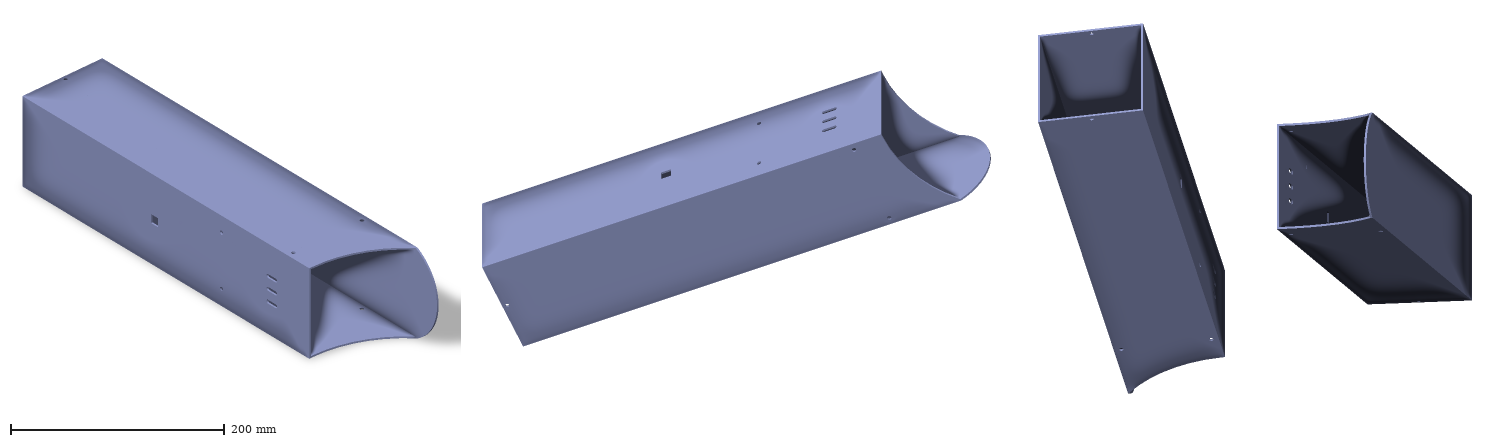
import cadquery as cq
import math

length = 475.0
side = 100.0
wall = 2.0
half = side / 2

front_wall_length = 405.0
mouth_radius = 131.5
mouth_center_y = -half + 4.7
tongue_radius = 57.0

window_x = 186.5
window_size = 10.0
pin_x = 281.0
pin_spacing = 62.0
pin_diameter = 4.5
slot_x = 352.5
slot_length = 14.5
slot_width = 4.5
slot_pitch = 14.2

end_hole_x = 4.7
end_hole_diameter = 4.0
mouth_hole_x = 374.5
mouth_hole_spacing = 86.0
mouth_hole_diameter = 4.5


def make_tube():
    """Square tube over the full length, including the tongue."""
    outer = cq.Workplane("YZ").rect(side, side).extrude(length)
    bore = cq.Workplane("YZ").rect(side - 2 * wall, side - 2 * wall).extrude(length)
    return outer.cut(bore)


def make_mouth_cutter():
    """Everything in front of the back wall and beyond the curved mouth edge."""
    inner_back_y = half - wall
    center_x = front_wall_length + mouth_radius

    def arc_x(y):
        return center_x - math.sqrt(mouth_radius**2 - (y - mouth_center_y) ** 2)

    middle_y = (mouth_center_y + inner_back_y) / 2
    return (
        cq.Workplane("XY", origin=(0, 0, -side))
        .moveTo(front_wall_length, -side)
        .lineTo(front_wall_length, mouth_center_y)
        .threePointArc((arc_x(middle_y), middle_y), (arc_x(inner_back_y), inner_back_y))
        .lineTo(length + side, inner_back_y)
        .lineTo(length + side, -side)
        .close()
        .extrude(2 * side)
    )


def make_tongue_envelope():
    """Side profile of the tube with the tongue's arc closing its far end."""
    arc_start_x = length - tongue_radius + math.sqrt(tongue_radius**2 - half**2)
    return (
        cq.Workplane("XZ", origin=(0, side, 0))
        .moveTo(0, -half)
        .lineTo(arc_start_x, -half)
        .threePointArc((length, 0), (arc_start_x, half))
        .lineTo(0, half)
        .close()
        .extrude(2 * side)
    )


def make_front_wall_cutter():
    """Square window, two pin holes and three slots through the front wall only."""
    slot_places = [(slot_x, row * slot_pitch) for row in (-1, 0, 1)]
    pin_places = [(pin_x, z) for z in (-pin_spacing / 2, pin_spacing / 2)]
    plane = cq.Workplane("XZ", origin=(0, -half + 2 * wall, 0))
    depth = 3 * wall
    window = plane.center(window_x, 0).rect(window_size, window_size).extrude(depth)
    pins = plane.pushPoints(pin_places).circle(pin_diameter / 2).extrude(depth)
    slots = plane.pushPoints(slot_places).slot2D(slot_length, slot_width).extrude(depth)
    return window.add(pins).add(slots).combine()


def make_vertical_holes():
    """Hole near the open end and a pair near the mouth, through top and bottom."""
    plane = cq.Workplane("XY", origin=(0, 0, -side))
    mouth_places = [(mouth_hole_x, y) for y in (-mouth_hole_spacing / 2, mouth_hole_spacing / 2)]
    end_hole = plane.center(end_hole_x, 0).circle(end_hole_diameter / 2).extrude(2 * side)
    mouth_holes = plane.pushPoints(mouth_places).circle(mouth_hole_diameter / 2).extrude(2 * side)
    return end_hole.add(mouth_holes).combine()


result = (
    make_tube()
    .cut(make_mouth_cutter())
    .intersect(make_tongue_envelope())
    .cut(make_front_wall_cutter())
    .cut(make_vertical_holes())
)